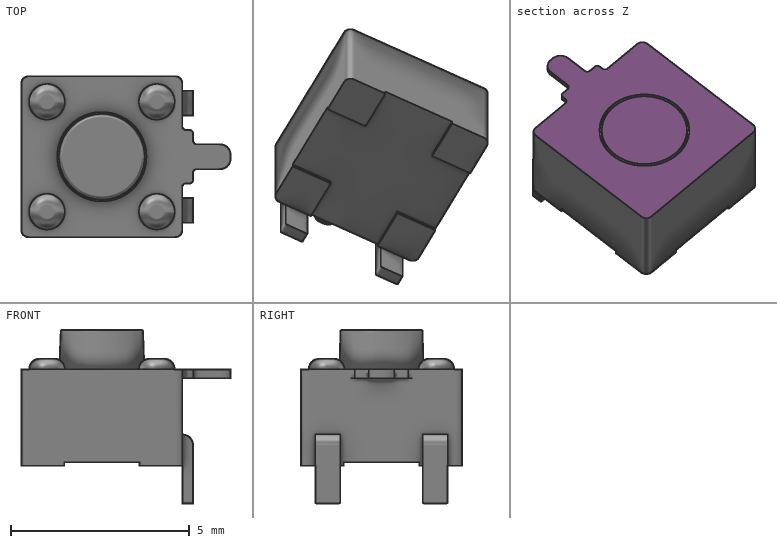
import cadquery as cq
import math

body_side = 4.5
body_height = 2.7
body_corner_radius = 0.2
recess_width = 2.1
recess_depth = 0.1

plate_thickness = 0.25
tab_root_width = 1.5
tab_root_length = 0.3
tab_tongue_width = 0.7
tab_reach = 1.35
tab_corner_radius = 0.1
tab_tip_radius = 0.3

opening_diameter = 2.5
plunger_base_radius = 1.2
plunger_rise = 1.1
plunger_draft = 2.0
plunger_edge_radius = 0.05

rivet_height = 0.3
rivet_spacing = 3.07
rivet_flat_radius = 0.2

pin_width = 0.7
pin_thickness = 0.3
pin_spacing = 3.0
pin_drop = 1.05
pin_top = 0.88
pin_end_radius = 0.05

body_face = body_side / 2
plate_underside = body_height - plate_thickness
plunger_height = plate_thickness + plunger_rise


def make_housing():
    """Rounded block with crossing shallow channels that leave four corner feet."""
    housing = cq.Workplane("XY").rect(body_side, body_side).extrude(body_height)
    housing = housing.edges("|Z").fillet(body_corner_radius)
    for length_x, length_y in ((body_side, recess_width), (recess_width, body_side)):
        channel = cq.Workplane("XY").rect(length_x, length_y).extrude(recess_depth)
        housing = housing.cut(channel)
    return housing


def make_ground_tab():
    """Stepped tab out of the +X face, level with the top of the housing."""
    root_end = body_face + tab_root_length
    tab_end = body_face + tab_reach
    root_half = tab_root_width / 2
    tongue_half = tab_tongue_width / 2
    anchor_half = root_half + 2 * tab_corner_radius
    anchor_start = body_face - tab_root_length
    upper_side = [
        (anchor_start, anchor_half),
        (body_face, anchor_half),
        (body_face, root_half),
        (root_end, root_half),
        (root_end, tongue_half),
        (tab_end, tongue_half),
    ]
    lower_side = [(x, -y) for x, y in reversed(upper_side)]
    tab = (
        cq.Workplane("XY", origin=(0, 0, plate_underside))
        .polyline(upper_side + lower_side)
        .close()
        .extrude(plate_thickness)
    )
    margin = tab_corner_radius / 2
    step_zone = cq.selectors.BoxSelector(
        (body_face - margin, -root_half - margin, plate_underside),
        (root_end + margin, root_half + margin, body_height),
    )
    tab = tab.edges("|Z").edges(step_zone).fillet(tab_corner_radius)
    return tab.edges("|Z and >X").fillet(tab_tip_radius)


def make_opening():
    """Round opening through the cover plate."""
    return (
        cq.Workplane("XY", origin=(0, 0, plate_underside))
        .circle(opening_diameter / 2)
        .extrude(plate_thickness)
    )


def make_plunger():
    """Tapered round button with a softened top edge."""
    plunger = (
        cq.Workplane("XY", origin=(0, 0, plate_underside))
        .circle(plunger_base_radius)
        .extrude(plunger_height, taper=plunger_draft)
    )
    return plunger.edges(">Z").fillet(plunger_edge_radius)


def make_rivets():
    """Four domed heads: a quarter-round flank around a small flat top."""
    radius = rivet_flat_radius + rivet_height
    half_spacing = rivet_spacing / 2
    arc_reach = rivet_height * math.sqrt(0.5)
    profile = (
        cq.Workplane("XZ")
        .lineTo(radius, 0)
        .threePointArc(
            (rivet_flat_radius + arc_reach, arc_reach),
            (rivet_flat_radius, rivet_height),
        )
        .lineTo(0, rivet_height)
        .close()
    )
    rivet = profile.revolve(360, (0, 0, 0), (0, 1, 0))
    rivets = cq.Workplane("XY")
    for x in (-half_spacing, half_spacing):
        for y in (-half_spacing, half_spacing):
            rivets = rivets.add(rivet.translate((x, y, body_height)))
    return rivets.combine()


def make_pin(y):
    """Terminal against the +X face, with a quarter-round outer shoulder and softened end corners."""
    outer_face = body_face + pin_thickness
    arc_reach = pin_thickness * math.sqrt(0.5)
    shoulder = pin_top - pin_thickness
    pin = (
        cq.Workplane("XZ", origin=(0, y + pin_width / 2, 0))
        .moveTo(body_face, -pin_drop)
        .lineTo(outer_face, -pin_drop)
        .lineTo(outer_face, shoulder)
        .threePointArc((body_face + arc_reach, shoulder + arc_reach), (body_face, pin_top))
        .close()
        .extrude(pin_width)
    )
    return pin.edges("|X and <Z").fillet(pin_end_radius)


result = (
    make_housing()
    .union(make_ground_tab())
    .cut(make_opening())
    .union(make_plunger())
    .union(make_rivets())
)
for pin_y in (-pin_spacing / 2, pin_spacing / 2):
    result = result.union(make_pin(pin_y))